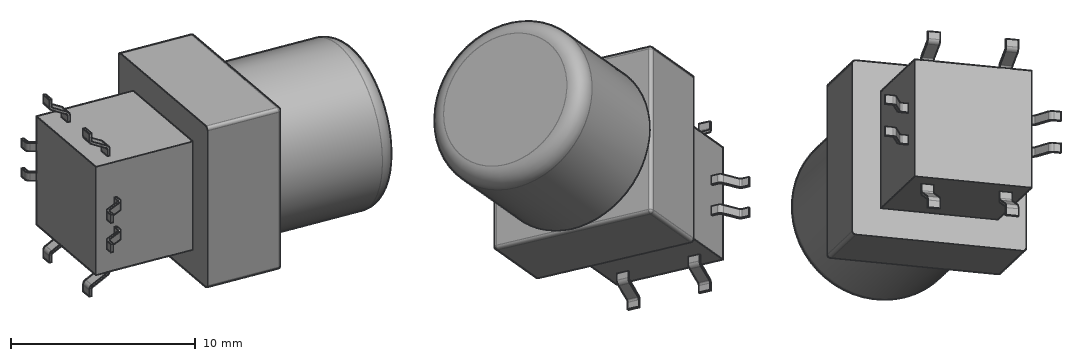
import cadquery as cq
import math

total_length = 17.88
lead_span = 10.0

base_side = 6.65
base_length = 6.0

collar_side = 9.9
collar_length = 4.6
collar_radius = 0.2

cap_diameter = 9.7
cap_edge_radius = 1.0
cap_embed = collar_radius

lead_thickness = 0.15
lead_height = 1.29
lead_slope_angle = math.radians(62)
bend_inner_radius = 0.15
foot_length = 0.41
side_lead_width = 0.5
side_lead_pitch = 1.8
top_lead_width = 0.7
top_lead_pitch = 4.45
lead_embed = 0.18


def square_block(side, start, length):
    """Square block centred on the Y axis, from Y = start to start + length."""
    return cq.Workplane("XY").box(side, length, side).translate((0, start + length / 2, 0))


def make_collar():
    collar = square_block(collar_side, base_length, collar_length)
    collar = collar.edges("|Y").fillet(collar_radius)
    return collar.faces(">Y").edges().fillet(collar_radius)


def make_cap():
    cap_start = base_length + collar_length - cap_embed
    cap = (
        cq.Workplane("XZ", origin=(0, cap_start, 0))
        .circle(cap_diameter / 2)
        .extrude(cap_start - total_length)
    )
    return cap.faces(">Y").edges().fillet(cap_edge_radius)


def make_lead(width):
    """Lead on the +X side, centred on Z = 0, swept along its mid-line from foot to base."""
    bend = bend_inner_radius + lead_thickness / 2
    sine = math.sin(lead_slope_angle)
    cosine = math.cos(lead_slope_angle)
    half_sine = math.sin(lead_slope_angle / 2)
    half_cosine = math.cos(lead_slope_angle / 2)

    foot_y = lead_thickness / 2
    shoulder_y = lead_height - lead_thickness / 2
    bend_rise = bend * (1 - cosine)
    slope_run = (shoulder_y - foot_y - 2 * bend_rise) / math.tan(lead_slope_angle)

    tip_x = lead_span / 2
    foot_x = tip_x - foot_length
    slope_foot_x = foot_x - bend * sine
    slope_top_x = slope_foot_x - slope_run
    shoulder_x = slope_top_x - bend * sine
    root_x = base_side / 2 - lead_embed

    foot_bend_mid = (foot_x - bend * half_sine, foot_y + bend * (1 - half_cosine))
    shoulder_bend_mid = (shoulder_x + bend * half_sine, shoulder_y - bend * (1 - half_cosine))
    mid_line = (
        cq.Workplane("XY")
        .moveTo(tip_x, foot_y)
        .lineTo(foot_x, foot_y)
        .threePointArc(foot_bend_mid, (slope_foot_x, foot_y + bend_rise))
        .lineTo(slope_top_x, shoulder_y - bend_rise)
        .threePointArc(shoulder_bend_mid, (shoulder_x, shoulder_y))
        .lineTo(root_x, shoulder_y)
    )
    section = cq.Workplane("YZ", origin=(tip_x, foot_y, 0)).rect(lead_thickness, width)
    return section.sweep(mid_line)


def lead_pair(width, pitch, angle):
    """Two leads spaced across one side of the base, turned about the Y axis."""
    lead = make_lead(width)
    pair = lead.translate((0, 0, pitch / 2)).union(lead.translate((0, 0, -pitch / 2)))
    return pair.rotate((0, 0, 0), (0, 1, 0), angle)


result = square_block(base_side, 0, base_length).union(make_collar()).union(make_cap())
for side_angle in (0, 180):
    result = result.union(lead_pair(side_lead_width, side_lead_pitch, side_angle))
    result = result.union(lead_pair(top_lead_width, top_lead_pitch, side_angle + 90))